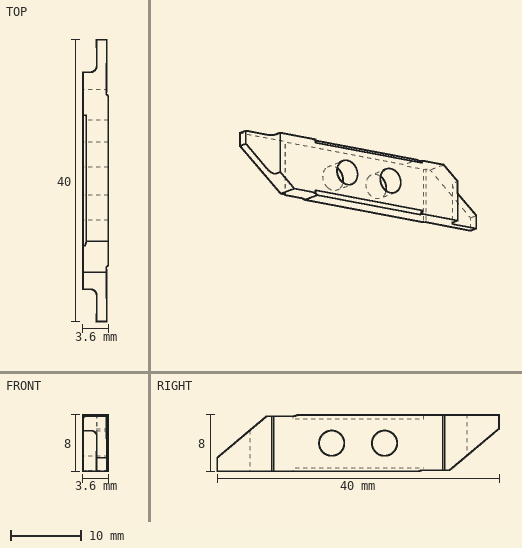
import cadquery as cq
import math

LENGTH = 40.0
HEIGHT = 8.0
THICKNESS = 3.6

TIP_HEIGHT = 1.94
FLANK_ANGLE = 40.0
EDGE_STEP = 0.15
STEP_END_Y = 9.15
STEP_RADIUS = 1.0

SHOULDER_Y = 15.4
SHOULDER_RADIUS = 0.9
BLADE_TIP_X = 0.115
BLADE_TAPER = 0.5
RELIEF_DEPTH = 0.26
RELIEF_START_Y = 12.0

BEVEL = 0.5
BEVEL_LENGTH = 18.5

HOLE_DIAMETER = 3.55
HOLE_SPACING = 7.5

HALF_LENGTH = LENGTH / 2
HALF_HEIGHT = HEIGHT / 2
HALF_THICKNESS = THICKNESS / 2
TAPER_SLOPE = math.tan(math.radians(BLADE_TAPER))


def side_profile():
    """Plate with the outline seen along X, extruded through the full thickness."""
    tip_z = HALF_HEIGHT - TIP_HEIGHT
    step_z = HALF_HEIGHT - EDGE_STEP
    flank_end_y = HALF_LENGTH - (tip_z + step_z) / math.tan(math.radians(FLANK_ANGLE))
    step_angle = math.acos(1 - EDGE_STEP / STEP_RADIUS)
    step_start_y = STEP_END_Y - STEP_RADIUS * math.sin(step_angle)
    step_mid_y = STEP_END_Y - STEP_RADIUS * math.sin(step_angle / 2)
    step_mid_z = step_z + STEP_RADIUS * (1 - math.cos(step_angle / 2))
    outline = cq.Workplane("YZ").workplane(offset=-HALF_THICKNESS).moveTo(-step_start_y, HALF_HEIGHT)
    for turn in (1, -1):
        outline = (
            outline.lineTo(turn * HALF_LENGTH, turn * HALF_HEIGHT)
            .lineTo(turn * HALF_LENGTH, turn * tip_z)
            .lineTo(turn * flank_end_y, -turn * step_z)
            .lineTo(turn * STEP_END_Y, -turn * step_z)
            .threePointArc(
                (turn * step_mid_y, -turn * step_mid_z),
                (turn * step_start_y, -turn * HALF_HEIGHT),
            )
        )
    return outline.close().extrude(THICKNESS)


def plan_profile():
    """Outline seen along Z: full-thickness body with a thin blade at each end."""
    fillet_end_y = SHOULDER_Y + SHOULDER_RADIUS
    inner_root_x = BLADE_TIP_X + (HALF_LENGTH - fillet_end_y) * TAPER_SLOPE
    fillet_start_x = inner_root_x - SHOULDER_RADIUS
    fillet_mid_offset = SHOULDER_RADIUS * math.sqrt(0.5)
    fillet_mid_x = fillet_start_x + fillet_mid_offset
    fillet_mid_y = fillet_end_y - fillet_mid_offset
    relief_x = HALF_THICKNESS - RELIEF_DEPTH
    relief_end_y = RELIEF_START_Y + RELIEF_DEPTH
    outer_tip_x = relief_x + (HALF_LENGTH - relief_end_y) * TAPER_SLOPE
    return (
        cq.Workplane("XY")
        .workplane(offset=-HALF_HEIGHT)
        .moveTo(-HALF_THICKNESS, -SHOULDER_Y)
        .lineTo(-HALF_THICKNESS, SHOULDER_Y)
        .lineTo(fillet_start_x, SHOULDER_Y)
        .threePointArc((fillet_mid_x, fillet_mid_y), (inner_root_x, fillet_end_y))
        .lineTo(BLADE_TIP_X, HALF_LENGTH)
        .lineTo(outer_tip_x, HALF_LENGTH)
        .lineTo(relief_x, relief_end_y)
        .lineTo(HALF_THICKNESS, RELIEF_START_Y)
        .lineTo(HALF_THICKNESS, -RELIEF_START_Y)
        .lineTo(relief_x, -relief_end_y)
        .lineTo(outer_tip_x, -HALF_LENGTH)
        .lineTo(BLADE_TIP_X, -HALF_LENGTH)
        .lineTo(inner_root_x, -fillet_end_y)
        .threePointArc((fillet_mid_x, -fillet_mid_y), (fillet_start_x, -SHOULDER_Y))
        .close()
        .extrude(HEIGHT)
    )


def edge_bevel(side):
    """45 degree wedge along the upper (side = 1) or lower (side = -1) edge of the -X face."""
    return (
        cq.Workplane("XZ")
        .workplane(offset=-BEVEL_LENGTH / 2)
        .moveTo(-HALF_THICKNESS, side * HALF_HEIGHT)
        .lineTo(-HALF_THICKNESS + BEVEL, side * HALF_HEIGHT)
        .lineTo(-HALF_THICKNESS, side * (HALF_HEIGHT - BEVEL))
        .close()
        .extrude(BEVEL_LENGTH)
    )


def mounting_holes():
    """Two through holes along X."""
    return (
        cq.Workplane("YZ")
        .workplane(offset=-HALF_THICKNESS)
        .pushPoints([(-HOLE_SPACING / 2, 0), (HOLE_SPACING / 2, 0)])
        .circle(HOLE_DIAMETER / 2)
        .extrude(THICKNESS)
    )


result = side_profile().intersect(plan_profile())
for side in (1, -1):
    result = result.cut(edge_bevel(side))
result = result.cut(mounting_holes())